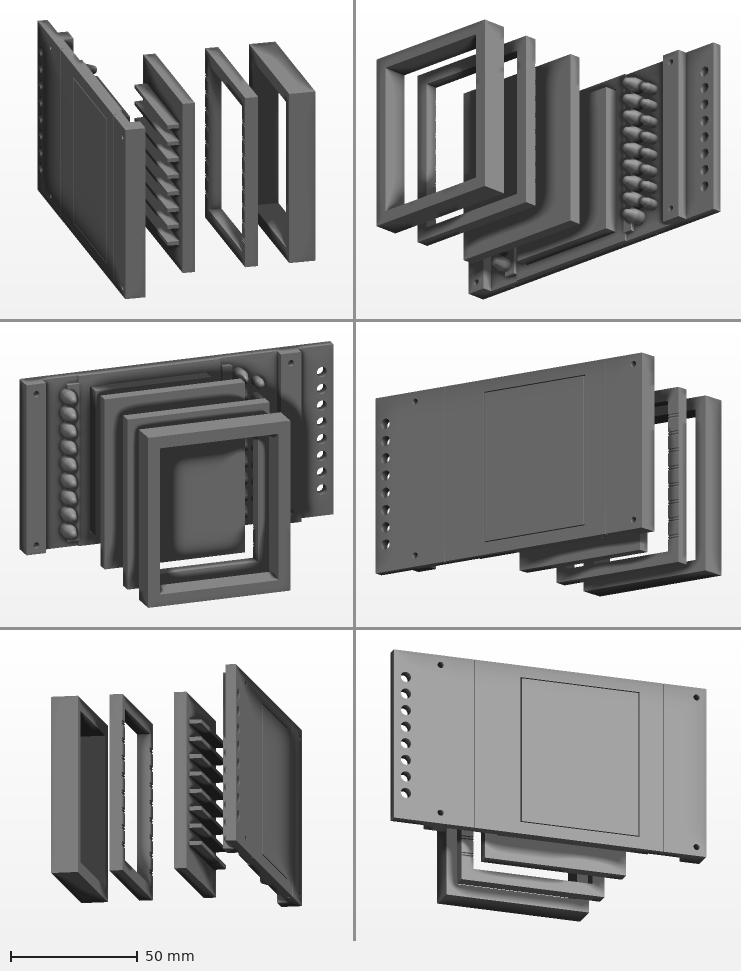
import cadquery as cq

total_length = 130.9
total_depth = 84.1
height = 71.0

window_border = 5.0
frame_left = 48.0
frame_right = 107.8
frame_width = frame_right - frame_left
window_width = frame_width - 2 * window_border
window_height = height - 2 * window_border
window_x = (frame_left + frame_right) / 2

flap_thickness = 4.0
lap_thickness = 2.1
panel_thickness = 5.0
hinge_gap = 0.3
bar_thickness = 4.2
bar_back = flap_thickness + bar_thickness

left_bar_start = 15.2
left_flap_end = 23.8
left_tongue_end = 33.6
right_tongue_start = 112.9
right_flap_start = 122.6

screen_clearance_x = 0.5
screen_clearance_z = 0.4
screen_depth = 9.8

screw_diameter = 2.5
left_screw_x = (left_bar_start + left_flap_end) / 2
right_screw_x = (right_flap_start + total_length) / 2
left_screw_heights = (-31.0, 31.4)
right_screw_heights = (-31.8, 31.4)

row_pitch = 7.0
row_count = 8
pin_hole_diameter = 4.2
pin_hole_x = 5.0

small_peg_x = 32.8
small_peg_diameter = 4.0
small_peg_tip_diameter = 2.7
small_peg_cone = 2.1
small_peg_dome = 0.8
large_peg_diameter = 5.8
large_peg_tip_diameter = 3.1
large_peg_cone = 4.0
large_peg_dome = 0.9
left_large_peg_x = 40.5
right_large_peg_x = 112.8

strip_back = 6.2
strip_height = 65.4
hook_start = 43.8
hook_end = 47.5
hook_lip_overhang = 0.5
hook_lip_thickness = 0.4
seat_end = 112.8

board_left = 48.8
board_front = 29.8
board_thickness = 5.0
fin_start = 54.0
fin_length = 49.0
fin_thickness = 1.7
fin_depth = 5.0
fin_draft = 1.0

spacer_front = 55.4
spacer_thickness = 5.4
back_frame_thickness = 10.7
groove_radius = 0.4
groove_spacing = 1.0
groove_drop = 0.4


def block(x_range, y_range, z_height):
    """A box between two X and two Y values, centred on Z = 0."""
    (x0, x1), (y0, y1) = x_range, y_range
    return cq.Workplane("XY").box(x1 - x0, y1 - y0, z_height).translate(((x0 + x1) / 2, (y0 + y1) / 2, 0))


def row_heights(count):
    """Z values of a row with the common pitch, centred on Z = 0."""
    return [(i - (count - 1) / 2) * row_pitch for i in range(count)]


def drill(body, x, heights, diameter):
    """Holes along Y through the whole body at one X and several Z values."""
    for z in heights:
        hole = cq.Workplane("XZ", origin=(x, 0, z)).circle(diameter / 2).extrude(-total_depth)
        body = body.cut(hole)
    return body


def window(y_range):
    """The common rectangular opening as a cutting block."""
    half = window_width / 2
    return block((window_x - half, window_x + half), y_range, window_height)


def frame(front, thickness):
    """A rectangular frame around the common window."""
    y_range = (front, front + thickness)
    return block((frame_left, frame_right), y_range, height).cut(window(y_range))


def peg(x, z, diameter, tip_diameter, cone, dome):
    """A peg along +Y: straight shank, cone and domed tip."""
    radius = diameter / 2
    tip_radius = tip_diameter / 2
    cone_end = bar_back + cone
    sphere_radius = (tip_radius**2 + dome**2) / (2 * dome)
    arc_radius = tip_radius / 2
    arc_rise = (sphere_radius**2 - arc_radius**2) ** 0.5 - (sphere_radius - dome)
    profile = (
        cq.Workplane("XY")
        .moveTo(0, lap_thickness)
        .lineTo(radius, lap_thickness)
        .lineTo(radius, bar_back)
        .lineTo(tip_radius, cone_end)
        .threePointArc((arc_radius, cone_end + arc_rise), (0, cone_end + dome))
        .close()
    )
    return profile.revolve(360, (0, 0, 0), (0, 1, 0)).translate((x, 0, z))


def small_peg(x, z):
    return peg(x, z, small_peg_diameter, small_peg_tip_diameter, small_peg_cone, small_peg_dome)


def large_peg(x, z):
    return peg(x, z, large_peg_diameter, large_peg_tip_diameter, large_peg_cone, large_peg_dome)


def make_left_flap():
    """End flap with a thin tongue in front of the middle panel, pin holes and screw holes."""
    flap = block((0, left_flap_end), (0, flap_thickness), height)
    flap = flap.union(block((0, left_tongue_end), (0, lap_thickness), height))
    flap = drill(flap, pin_hole_x, row_heights(row_count), pin_hole_diameter)
    return drill(flap, left_screw_x, left_screw_heights, screw_diameter)


def make_right_flap():
    """End flap with a thin tongue in front of the middle panel and screw holes."""
    flap = block((right_flap_start, total_length), (0, flap_thickness), height)
    flap = flap.union(block((right_tongue_start, total_length), (0, lap_thickness), height))
    return drill(flap, right_screw_x, right_screw_heights, screw_diameter)


def make_clamp_bar(x_range, screw_x, screw_heights):
    """Bar screwed onto the back of a flap."""
    bar = block(x_range, (flap_thickness, bar_back), height)
    return drill(bar, screw_x, screw_heights, screw_diameter)


def make_middle_panel():
    """Windowed panel with a lapped tab on each side, latch strips and three rows of pegs."""
    tab_start = left_tongue_end + hinge_gap
    tab_end = right_tongue_start - hinge_gap
    panel = block((frame_left, frame_right), (0, panel_thickness), height)
    panel = panel.union(block((tab_start, tab_end), (0, flap_thickness), height))
    panel = panel.union(block((left_flap_end, right_flap_start), (lap_thickness, flap_thickness), height))
    panel = panel.cut(window((0, panel_thickness)))

    lip_front = strip_back - hook_lip_thickness
    panel = panel.union(block((hook_start, hook_end), (lap_thickness, strip_back), strip_height))
    panel = panel.union(block((hook_start - hook_lip_overhang, hook_end), (lip_front, strip_back), strip_height))
    panel = panel.union(block((frame_right, seat_end), (lap_thickness, strip_back), strip_height))

    for z in row_heights(row_count):
        panel = panel.union(small_peg(small_peg_x, z))
    for z in row_heights(row_count + 1):
        panel = panel.union(large_peg(left_large_peg_x, z))
        panel = panel.union(large_peg(right_large_peg_x, z))
    return panel


def make_screen():
    """Block standing in the window of the middle panel with a small gap all round."""
    half = window_width / 2 - screen_clearance_x
    screen_height = window_height - 2 * screen_clearance_z
    return block((window_x - half, window_x + half), (0, screen_depth), screen_height)


def make_board():
    """Plate with a row of slightly drafted fins on its front face."""
    board = block((board_left, frame_right), (board_front, board_front + board_thickness), height)
    fin_x = fin_start + fin_length / 2
    for z in row_heights(row_count):
        fin = (
            cq.Workplane("XZ", origin=(fin_x, board_front, z))
            .rect(fin_length, fin_thickness)
            .extrude(fin_depth, taper=fin_draft)
        )
        board = board.union(fin)
    return board


def make_spacer_frame():
    """Frame with pairs of shallow round grooves across the front of both side borders."""
    spacer = frame(spacer_front, spacer_thickness)
    for z in row_heights(row_count):
        for offset in (-groove_spacing / 2, groove_spacing / 2):
            groove = (
                cq.Workplane("YZ", origin=(frame_left, spacer_front, z - groove_drop + offset))
                .circle(groove_radius)
                .extrude(frame_width)
            )
            spacer = spacer.cut(groove)
    return spacer


left_flap = make_left_flap()
right_flap = make_right_flap()
left_bar = make_clamp_bar((left_bar_start, left_flap_end), left_screw_x, left_screw_heights)
right_bar = make_clamp_bar((right_flap_start, total_length), right_screw_x, right_screw_heights)
middle_panel = make_middle_panel()
screen = make_screen()
board = make_board()
spacer_frame = make_spacer_frame()
back_frame = frame(total_depth - back_frame_thickness, back_frame_thickness)

result = cq.Compound.makeCompound(
    [
        left_flap.val(),
        right_flap.val(),
        left_bar.val(),
        right_bar.val(),
        middle_panel.val(),
        screen.val(),
        board.val(),
        spacer_frame.val(),
        back_frame.val(),
    ]
)